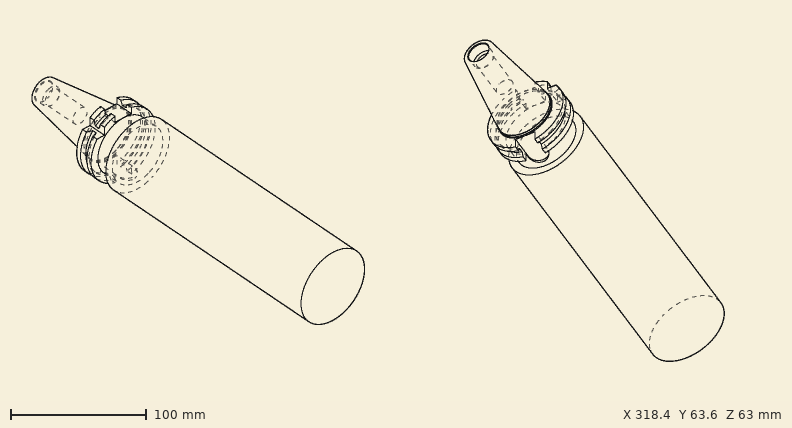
import cadquery as cq
import math


TAPER_LENGTH = 68.4
GAUGE_DIAMETER = 44.45
TAPER_RATIO = 7 / 24
END_FILLET = 1.2
RELIEF_START = 0.7
RELIEF_DIAMETER = 44.0
RELIEF_ROOT_CHAMFER = 0.6

FLANGE_DIAMETER = 63.55
FLANGE_START = 3.2
FLANGE_END = 19.1
FLANGE_WIDTH = FLANGE_END - FLANGE_START
GROOVE_CENTRE = 11.1
GROOVE_FLOOR = 3.75
GROOVE_DIAMETER = 56.25
GROOVE_MOUTH = 7.0

NECK_DIAMETER = 50.0
NECK_END = 35.0
BODY_DIAMETER = 63.0
BODY_END = 250.0

SLOT_WIDTH = 16.1
UPPER_SLOT_FLOOR = 25.0
LOWER_SLOT_FLOOR = 22.8
LOWER_SLOT_END = 30.7
NOTCH_OFFSET = 18.5

PILOT_DIAMETER = 17.0
PILOT_DEPTH = 8.2
MOUTH_CHAMFER = 0.5
ENTRY_LENGTH = 1.5
BORE_DIAMETER = 14.0
BORE_DEPTH = 40.0
DRILL_TIP_ANGLE = 118


def revolve_about_x(outline):
    """Revolve a closed (x, radius) outline about the X axis."""
    return cq.Workplane("XY").polyline(outline).close().revolve(360, (0, 0, 0), (1, 0, 0))


def taper_radius(x):
    """Radius of the taper cone at position x."""
    return (GAUGE_DIAMETER + TAPER_RATIO * x) / 2


def turned_blank():
    floor_half = GROOVE_FLOOR / 2
    mouth_half = GROOVE_MOUTH / 2
    relief_start_radius = taper_radius(RELIEF_START)
    return revolve_about_x([
        (-TAPER_LENGTH, 0),
        (-TAPER_LENGTH, taper_radius(-TAPER_LENGTH)),
        (RELIEF_START, relief_start_radius),
        (RELIEF_START, RELIEF_DIAMETER / 2),
        (FLANGE_START - RELIEF_ROOT_CHAMFER, RELIEF_DIAMETER / 2),
        (FLANGE_START, RELIEF_DIAMETER / 2 + RELIEF_ROOT_CHAMFER),
        (FLANGE_START, FLANGE_DIAMETER / 2),
        (GROOVE_CENTRE - mouth_half, FLANGE_DIAMETER / 2),
        (GROOVE_CENTRE - floor_half, GROOVE_DIAMETER / 2),
        (GROOVE_CENTRE + floor_half, GROOVE_DIAMETER / 2),
        (GROOVE_CENTRE + mouth_half, FLANGE_DIAMETER / 2),
        (FLANGE_END, FLANGE_DIAMETER / 2),
        (FLANGE_END, NECK_DIAMETER / 2),
        (NECK_END, NECK_DIAMETER / 2),
        (NECK_END, BODY_DIAMETER / 2),
        (BODY_END, BODY_DIAMETER / 2),
        (BODY_END, 0),
    ]).faces("<X").edges().fillet(END_FILLET)


def pull_stud_bore():
    """Chamfered pilot bore, conical entry, smaller bore and drill tip."""
    tip_length = BORE_DIAMETER / 2 / math.tan(math.radians(DRILL_TIP_ANGLE / 2))
    pilot_end = -TAPER_LENGTH + PILOT_DEPTH
    bore_end = -TAPER_LENGTH + BORE_DEPTH
    return revolve_about_x([
        (-TAPER_LENGTH, 0),
        (-TAPER_LENGTH, PILOT_DIAMETER / 2 + MOUTH_CHAMFER),
        (-TAPER_LENGTH + MOUTH_CHAMFER, PILOT_DIAMETER / 2),
        (pilot_end, PILOT_DIAMETER / 2),
        (pilot_end + ENTRY_LENGTH, BORE_DIAMETER / 2),
        (bore_end, BORE_DIAMETER / 2),
        (bore_end + tip_length, 0),
    ])


def upper_drive_slot():
    """Flat-bottomed slot across the flange on the +Z side."""
    return cq.Workplane("XY").box(
        FLANGE_WIDTH, SLOT_WIDTH, FLANGE_DIAMETER / 2, centered=(False, True, False)
    ).translate((FLANGE_START, 0, UPPER_SLOT_FLOOR))


def lower_drive_slot():
    """Deeper slot on the -Z side, running on into the neck to a round end."""
    half_width = SLOT_WIDTH / 2
    arc_start = LOWER_SLOT_END - half_width
    return (
        cq.Workplane("XY", origin=(0, 0, -LOWER_SLOT_FLOOR))
        .moveTo(FLANGE_START, -half_width)
        .lineTo(arc_start, -half_width)
        .threePointArc((LOWER_SLOT_END, 0), (arc_start, half_width))
        .lineTo(FLANGE_START, half_width)
        .close()
        .extrude(-FLANGE_DIAMETER / 2)
    )


def orientation_notch():
    """Square corner notch across the flange on the -Y, +Z side."""
    reach = FLANGE_DIAMETER / 2
    return cq.Workplane("XY").box(
        FLANGE_WIDTH, reach, reach, centered=False
    ).translate((FLANGE_START, -NOTCH_OFFSET - reach, NOTCH_OFFSET))


result = turned_blank()
for cutter in (pull_stud_bore(), upper_drive_slot(), lower_drive_slot(), orientation_notch()):
    result = result.cut(cutter)